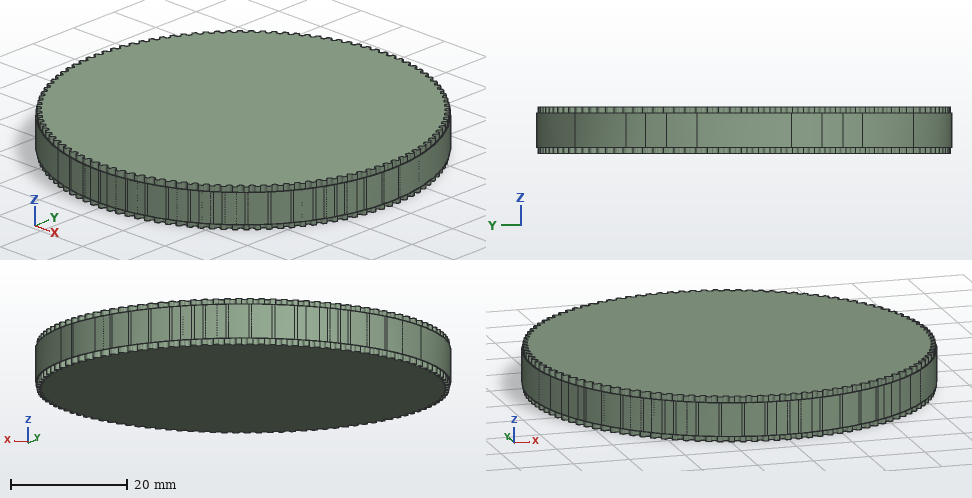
import cadquery as cq
import math

band_diameter = 71.3
total_height = 8.0
band_height = 6.0

tooth_count = 112
band_thickness = 0.25
groove_radius = 0.535
groove_depth = 0.8
tip_rounding = 0.2

band_radius = band_diameter / 2
tip_radius = band_radius - band_thickness
root_radius = tip_radius - groove_depth
groove_center_radius = root_radius + groove_radius
tooth_pitch_angle = 2 * math.pi / tooth_count


def polar_point(radius, angle):
    """Point at a given distance from the axis and angle from +X."""
    return (radius * math.cos(angle), radius * math.sin(angle))


def groove_point(outward, sideways, groove_angle):
    """Point measured outward along a groove's centre line and sideways from that line."""
    return polar_point(
        math.hypot(outward, sideways),
        groove_angle + math.atan2(sideways, outward),
    )


def tooth_outline():
    """Closed outline: arc tips with rounded corners between straight-sided, round-bottomed grooves."""
    corner_sideways = groove_radius + tip_rounding
    corner_outward = math.sqrt((tip_radius - tip_rounding) ** 2 - corner_sideways**2)
    mouth_half_angle = math.atan2(corner_sideways, corner_outward)
    tip_half_angle = tooth_pitch_angle / 2 - mouth_half_angle

    corner_mid_direction = (mouth_half_angle - math.pi / 2) / 2
    corner_mid_outward = corner_outward + tip_rounding * math.cos(corner_mid_direction)
    corner_mid_sideways = corner_sideways + tip_rounding * math.sin(corner_mid_direction)

    outline = cq.Workplane("XY").workplane(offset=-total_height / 2)
    outline = outline.moveTo(*polar_point(tip_radius, -tip_half_angle))
    for tooth in range(tooth_count):
        tip_angle = tooth * tooth_pitch_angle
        groove_angle = tip_angle + tooth_pitch_angle / 2
        outline = (
            outline
            .threePointArc(
                polar_point(tip_radius, tip_angle),
                polar_point(tip_radius, tip_angle + tip_half_angle),
            )
            .threePointArc(
                groove_point(corner_mid_outward, -corner_mid_sideways, groove_angle),
                groove_point(corner_outward, -groove_radius, groove_angle),
            )
            .lineTo(*groove_point(groove_center_radius, -groove_radius, groove_angle))
            .threePointArc(
                polar_point(root_radius, groove_angle),
                groove_point(groove_center_radius, groove_radius, groove_angle),
            )
            .lineTo(*groove_point(corner_outward, groove_radius, groove_angle))
            .threePointArc(
                groove_point(corner_mid_outward, corner_mid_sideways, groove_angle),
                polar_point(tip_radius, groove_angle + mouth_half_angle),
            )
        )
    return outline.close()


def toothed_wheel():
    """Solid wheel with teeth over its full height, centred on the origin."""
    return tooth_outline().extrude(total_height)


def band():
    """Thin ring around the tooth tips, at mid height; the grooves stay open behind it."""
    return (
        cq.Workplane("XY")
        .workplane(offset=-band_height / 2)
        .circle(band_radius)
        .circle(tip_radius)
        .extrude(band_height)
    )


result = toothed_wheel().union(band())